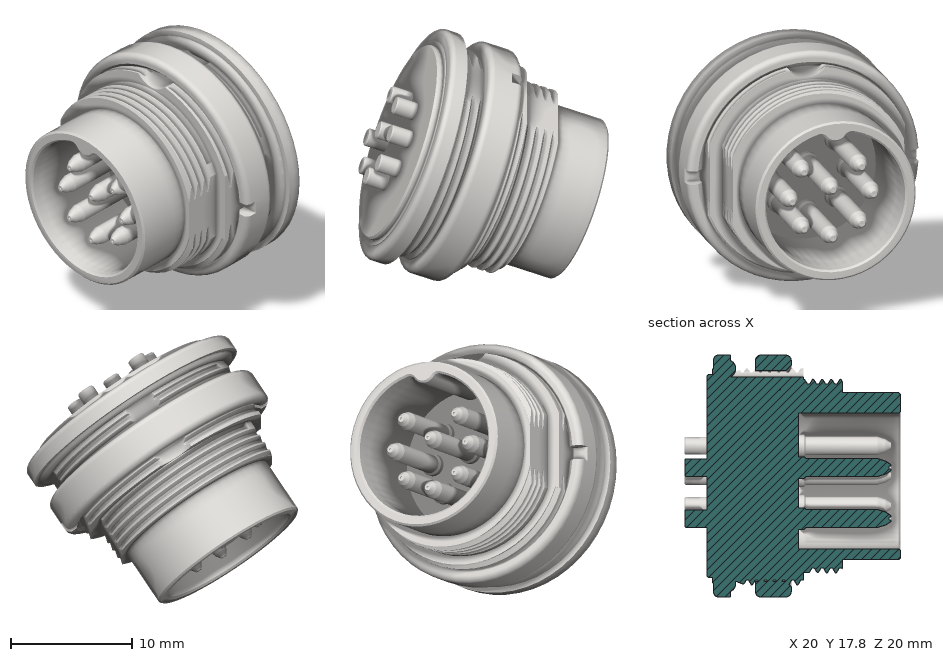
import cadquery as cq
import math


barrel_end_y = 4.8
shoulder_y = 8.0
nut_front_y = 9.0
nut_thickness = 3.0
nut_back_y = nut_front_y + nut_thickness
flange_front_y = 14.0
flange_back_y = 15.45
body_back_y = 16.0
total_length = 17.8

barrel_radius = 13.8 / 2
bore_radius = 6.0
bore_depth = 8.4
rim_chamfer = 0.15

key_radius = 1.1
key_tip_z = 5.15
key_blend_radius = 0.6

small_thread_radius = 8.0
small_root_radius = 7.6
small_flat_width = 14.8
large_thread_radius = 9.0
large_root_radius = 8.6
large_flat_width = 16.8
neck_radius = 8.68
neck_cone_start_y = 12.8
neck_cone_end_y = 13.65

turns_per_nut = 4
thread_pitch = nut_thickness / turns_per_nut
thread_crest_width = 0.1
thread_root_width = 0.18
thread_end_angle = 60.0
thread_front_angle = 110.0
small_thread_turns = 5
large_thread_turns = 7
small_thread_end_y = 7.72
large_thread_end_y = 13.15
groove_overcut = 0.05

key_groove_radius = 2.0
key_groove_floor_z = 8.15

outer_radius = 10.0
edge_fillet = 0.5
flange_fillet_y = 15.0
flange_pad_radius = 8.85
flange_pad_y = 15.52
back_disc_radius = 8.4
back_disc_chamfer = 0.15
ring_outer_radius = 9.6
ring_section_radius = 1.5 / 2
ring_front_y = 13.58
nut_bore_radius = 8.68
nut_mouth_radius = 18.3 / 2
nut_slot_width = 1.15
nut_slot_depth = 1.05

pin_circle_radius = 3.5
pin_circle_angles = (0, 45, 135, 180, 225, 270, 315)
center_pin_z = 0.7
pin_tip_y = 0.8
pin_radius = 1.5 / 2
pin_shoulder_length = 0.65
pin_nose_radius = 1.1 / 2
pin_nose_length = 0.45
pin_flat_radius = 0.25
pin_dimple_radius = 0.1
pin_dimple_depth = 0.15
pin_collar_radius = 1.82 / 2
pin_collar_length = 0.6
tail_radius = 1.48 / 2
tail_chamfer = 0.1


def cylinder(radius, y_start, y_end, x=0.0, z=0.0):
    """Cylinder parallel to Y between two positions."""
    plane = cq.Plane(origin=(x, y_start, z), xDir=(1, 0, 0), normal=(0, 1, 0))
    return cq.Workplane(plane).circle(radius).extrude(y_end - y_start)


def revolve_about_y(outline):
    """Turn a closed outline drawn in the XY plane about the Y axis."""
    return outline.revolve(360, (0, 0, 0), (0, 1, 0))


def flatten_sides(body, width):
    """Keep only the part of a body between two flats facing -X and +X."""
    slab = cq.Workplane("XY").box(width, 4 * total_length, 4 * outer_radius)
    return body.intersect(slab)


def thread_groove(crest_radius, root_radius, end_y, turns):
    """Helical groove from its closed back end to the front; the end angles shorten the last turn."""
    flank_width = (thread_pitch - thread_crest_width - thread_root_width) / 2
    flank_slope = flank_width / (crest_radius - root_radius)
    outside_radius = crest_radius + groove_overcut
    outside_half_width = (thread_pitch - thread_crest_width) / 2 + groove_overcut * flank_slope
    root_half_width = thread_root_width / 2
    corners = [
        (root_radius, -root_half_width),
        (outside_radius, -outside_half_width),
        (outside_radius, outside_half_width),
        (root_radius, root_half_width),
    ]
    length = (turns - (thread_front_angle - thread_end_angle) / 360) * thread_pitch
    helices = [
        cq.Wire.makeHelix(thread_pitch, length, radius).translate(cq.Vector(0, 0, offset))
        for radius, offset in corners
    ]
    faces = []
    for helix, next_helix in zip(helices, helices[1:] + helices[:1]):
        faces.extend(cq.Face.makeRuledSurface(helix, next_helix).Faces())
    for end in (0, 1):
        end_outline = cq.Wire.makePolygon([helix.positionAt(end) for helix in helices], close=True)
        faces.append(cq.Face.makeFromWires(end_outline))
    groove = cq.Solid.makeSolid(cq.Shell.makeShell(faces))

    angle = math.radians(thread_end_angle)
    start_direction = (math.sin(angle), 0, math.cos(angle))
    placement = cq.Plane(origin=(0, end_y, 0), xDir=start_direction, normal=(0, -1, 0))
    return cq.Workplane(obj=groove.moved(cq.Location(placement)))


def make_small_thread():
    """Front thread, whose groove runs out through the front face."""
    body = cylinder(small_thread_radius, barrel_end_y, shoulder_y)
    groove = thread_groove(small_thread_radius, small_root_radius, small_thread_end_y, small_thread_turns)
    return flatten_sides(body.cut(groove), small_flat_width)


def make_large_thread():
    """Rear thread with a locating groove on top and a neck tapering toward the flange."""
    body = cylinder(large_thread_radius, shoulder_y, flange_front_y)
    groove = thread_groove(large_thread_radius, large_root_radius, large_thread_end_y, large_thread_turns)
    neck_relief = revolve_about_y(
        cq.Workplane("XY").polyline([
            (large_thread_radius, neck_cone_start_y),
            (neck_radius, neck_cone_end_y),
            (neck_radius, flange_front_y),
            (outer_radius, flange_front_y),
            (outer_radius, neck_cone_start_y),
        ]).close()
    )
    key_groove = cylinder(
        key_groove_radius, shoulder_y, flange_front_y, z=key_groove_floor_z + key_groove_radius
    )
    body = body.cut(groove).cut(neck_relief).cut(key_groove)
    return flatten_sides(body, large_flat_width)


def make_flange():
    """Round-backed flange with a low pad and a chamfered disc behind it."""
    flange = cylinder(outer_radius, flange_front_y, flange_back_y)
    flange = flange.faces(">Y").edges().fillet(flange_back_y - flange_fillet_y)
    pad = cylinder(flange_pad_radius, flange_front_y, flange_pad_y)
    back_disc = cylinder(back_disc_radius, flange_back_y, body_back_y)
    return flange.union(pad).union(back_disc.faces(">Y").edges().chamfer(back_disc_chamfer))


def make_sealing_ring():
    section = cq.Workplane("XY").center(
        ring_outer_radius - ring_section_radius, ring_front_y + ring_section_radius
    ).circle(ring_section_radius)
    offset = ring_section_radius - ring_outer_radius
    return section.revolve(360, (offset, 0, 0), (offset, 1, 0))


def make_nut():
    """Round nut joined to the thread crests, with a chamfered mouth and two wrench slots."""
    nut = cylinder(outer_radius, nut_front_y, nut_back_y).edges().fillet(edge_fillet)
    nut = nut.cut(cylinder(nut_bore_radius, nut_front_y, nut_back_y))
    nut = nut.faces("<Y").edges("%CIRCLE").edges(
        cq.selectors.RadiusNthSelector(0)
    ).chamfer(nut_mouth_radius - nut_bore_radius)
    slot = cq.Workplane("XY").box(
        2 * outer_radius, nut_slot_depth, nut_slot_width, centered=(True, False, True)
    ).translate((0, nut_front_y, 0))
    return nut.cut(slot)


def make_bore():
    """Bore with a rounded rib along its top that blends into the wall."""
    blend_center_radius = bore_radius - key_blend_radius
    blend_reach = key_radius + key_blend_radius
    key_center_z = key_tip_z + key_radius
    blend_z = (blend_center_radius**2 - blend_reach**2 + key_center_z**2) / (2 * key_center_z)
    blend_x = math.sqrt(blend_center_radius**2 - blend_z**2)
    wall_ratio = bore_radius / blend_center_radius
    wall_point = (blend_x * wall_ratio, blend_z * wall_ratio)
    key_ratio = key_radius / blend_reach
    key_point = (blend_x * key_ratio, key_center_z + (blend_z - key_center_z) * key_ratio)
    middle_x = (wall_point[0] + key_point[0]) / 2 - blend_x
    middle_z = (wall_point[1] + key_point[1]) / 2 - blend_z
    reach = key_blend_radius / math.hypot(middle_x, middle_z)
    blend_middle = (blend_x + middle_x * reach, blend_z + middle_z * reach)

    def mirrored(point):
        return (-point[0], point[1])

    return (
        cq.Workplane("XZ")
        .moveTo(*wall_point)
        .threePointArc((0, -bore_radius), mirrored(wall_point))
        .threePointArc(mirrored(blend_middle), mirrored(key_point))
        .threePointArc((0, key_tip_z), key_point)
        .threePointArc(blend_middle, wall_point)
        .close()
        .extrude(-bore_depth)
    )


def make_pin(x, z):
    """Contact with a tapered, dimpled nose, a collar at its base and a solder tail behind."""
    nose_end_y = pin_tip_y + pin_nose_length
    collar_y = bore_depth - pin_collar_length
    front = revolve_about_y(
        cq.Workplane("XY")
        .moveTo(0, pin_tip_y + pin_dimple_depth)
        .lineTo(pin_dimple_radius, pin_tip_y + pin_dimple_depth)
        .lineTo(pin_dimple_radius, pin_tip_y)
        .lineTo(pin_flat_radius, pin_tip_y)
        .lineTo(pin_nose_radius, nose_end_y)
        .lineTo(pin_radius, nose_end_y + pin_shoulder_length)
        .lineTo(pin_radius, collar_y)
        .lineTo(pin_collar_radius, collar_y + pin_collar_radius - pin_radius)
        .lineTo(pin_collar_radius, bore_depth)
        .lineTo(0, bore_depth)
        .close()
    ).translate((x, 0, z))
    tail = cylinder(tail_radius, bore_depth, total_length, x, z).faces(">Y").edges().chamfer(tail_chamfer)
    return front.union(tail)


barrel = cylinder(barrel_radius, 0, shoulder_y)
body = barrel.union(make_small_thread()).union(make_large_thread()).cut(make_bore())
body = body.faces("<Y").edges().chamfer(rim_chamfer)

result = body.union(make_flange()).union(make_sealing_ring()).union(make_nut())

pin_positions = [(0, center_pin_z)]
for angle in pin_circle_angles:
    turn = math.radians(angle)
    pin_positions.append((pin_circle_radius * math.cos(turn), pin_circle_radius * math.sin(turn)))

for pin_x, pin_z in pin_positions:
    result = result.union(make_pin(pin_x, pin_z))